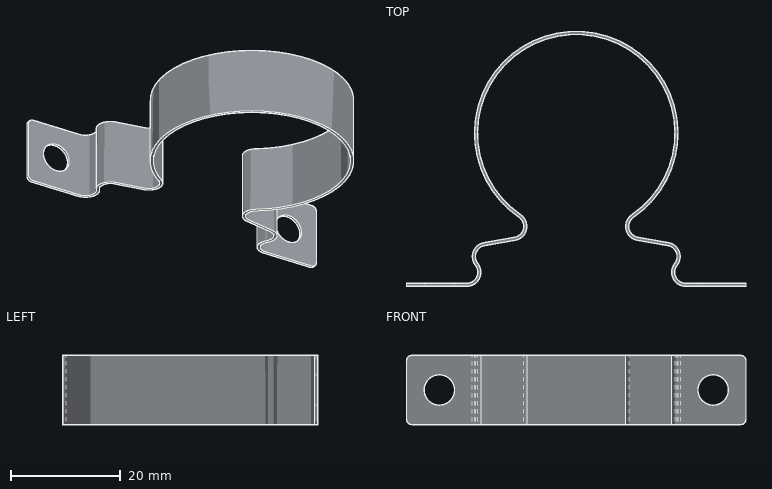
import cadquery as cq
import math

thickness = 0.6
width = 12.7

ring_inner_radius = 18.0
ring_center_y = 28.0

bend_inner_radius = 2.0
foot_bend_x = 20.0
shoulder_half_width = 19.0
neck_half_gap = 9.0

overall_length = 62.0
hole_spacing = 50.0
hole_diameter = 5.5
foot_corner_radius = 1.0

ring_radius = ring_inner_radius + thickness / 2
bend_radius = bend_inner_radius + thickness / 2
bend_outer_radius = bend_inner_radius + thickness
bend_span = 2 * bend_radius

ring_center = (0.0, ring_center_y)
foot_center = (-foot_bend_x, bend_outer_radius)
shoulder_x = bend_outer_radius - shoulder_half_width
shoulder_rise = math.sqrt(bend_span**2 - (shoulder_x - foot_center[0]) ** 2)
shoulder_center = (shoulder_x, foot_center[1] + shoulder_rise)
neck_x = -(neck_half_gap + bend_outer_radius)
neck_drop = math.sqrt((ring_radius + bend_radius) ** 2 - neck_x**2)
neck_center = (neck_x, ring_center_y - neck_drop)


def direction(start, end):
    """Angle in radians of the line from start to end."""
    return math.atan2(end[1] - start[1], end[0] - start[0])


def polar_point(center, radius, angle):
    """Point at the given radius and angle around center."""
    return (center[0] + radius * math.cos(angle), center[1] + radius * math.sin(angle))


def strip_arcs(offset):
    """Foot, shoulder, neck and ring arcs as (center, radius, start angle, end angle).

    They run from the left foot up and over the ring. The offset is measured from
    the middle of the strip, positive to the left of travel.
    """
    quarter = math.pi / 2
    foot_end = direction(foot_center, shoulder_center)
    neck_end = direction(neck_center, ring_center)
    web_span = math.dist(shoulder_center, neck_center)
    web_angle = direction(shoulder_center, neck_center) - math.asin(bend_span / web_span)
    left_turn_radius = bend_radius - offset
    right_turn_radius = bend_radius + offset
    return [
        (foot_center, left_turn_radius, -quarter, foot_end),
        (shoulder_center, right_turn_radius, foot_end + math.pi, web_angle + quarter),
        (neck_center, left_turn_radius, web_angle - quarter, neck_end),
        (ring_center, ring_radius + offset, neck_end + math.pi, -neck_end),
    ]


def arc_edge(center, radius, start, end):
    """Circular edge through the start, middle and end angles."""
    points = [polar_point(center, radius, angle) for angle in (start, (start + end) / 2, end)]
    return cq.Edge.makeThreePointArc(*[cq.Vector(x, y, 0) for x, y in points])


def strip_side(offset):
    """Edges of one side of the strip: left leg, ring and mirrored right leg."""
    foot, shoulder, neck, ring = [arc_edge(*arc) for arc in strip_arcs(offset)]
    foot_tip = cq.Vector(-overall_length / 2, foot.startPoint().y, 0)
    foot_line = cq.Edge.makeLine(foot_tip, foot.startPoint())
    web_line = cq.Edge.makeLine(shoulder.endPoint(), neck.startPoint())
    left_leg = [foot_line, foot, shoulder, web_line, neck]
    right_leg = [edge.mirror("YZ") for edge in reversed(left_leg)]
    return [*left_leg, ring, *right_leg]


def foot_tip_edge(x):
    """Edge across the strip thickness at the tip of a foot."""
    return cq.Edge.makeLine(cq.Vector(x, 0, 0), cq.Vector(x, thickness, 0))


def bent_strip():
    """Bent strip with square feet, centred on Z = 0."""
    outer = strip_side(thickness / 2)
    inner = strip_side(-thickness / 2)
    left_tip = foot_tip_edge(-overall_length / 2)
    right_tip = foot_tip_edge(overall_length / 2)
    outline = cq.Wire.assembleEdges([*outer, right_tip, *reversed(inner), left_tip])
    strip = cq.Solid.extrudeLinear(cq.Face.makeFromWires(outline), cq.Vector(0, 0, width))
    return cq.Workplane(strip.translate(cq.Vector(0, 0, -width / 2)))


def round_feet(strip):
    """Round the free corners of both feet."""
    for tip in ("<X", ">X"):
        strip = strip.faces(tip).edges("|Y").fillet(foot_corner_radius)
    return strip


def mounting_holes():
    """Cutters for the screw hole in each foot."""
    return (
        cq.Workplane("XZ", origin=(0, thickness, 0))
        .pushPoints([(-hole_spacing / 2, 0), (hole_spacing / 2, 0)])
        .circle(hole_diameter / 2)
        .extrude(thickness)
    )


result = round_feet(bent_strip()).cut(mounting_holes())